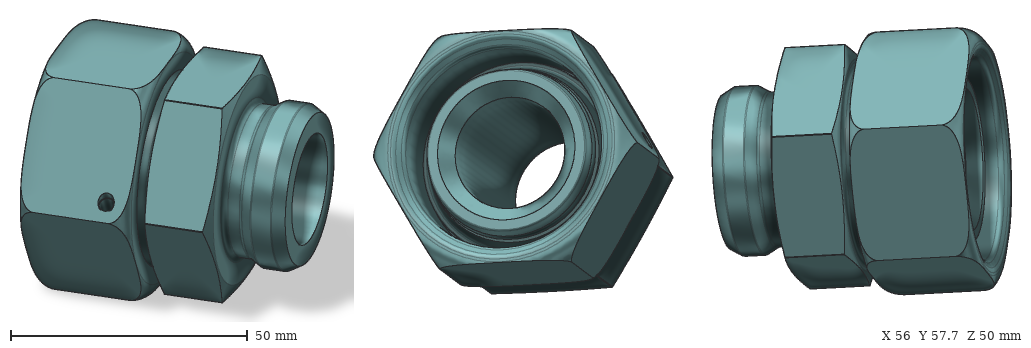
import cadquery as cq
import math

total_length = 56.0

hex_half_angle = 30.0

nut_across_flats = 50.0
nut_length = 24.5
nut_corner_fillet = 4.0
thread_bore_diameter = 43.0
nut_rear_bore_diameter = 42.16
mouth_diameter = 47.4
mouth_half_angle = 60.0
mouth_face_fillet = 2.1
mouth_bore_fillet = 1.3

wire_diameter = 3.2
wire_ring_radius = 21.25
wire_x = 19.5
feed_hole_angle = 60.0
feed_hole_entry_diameter = 3.5
feed_hole_entry_depth = 0.85

hex_across_flats = 46.0
hex_start = 27.0
hex_length = 15.0
hex_end = hex_start + hex_length
hex_corner_diameter = 53.0
hex_chamfer_angle = 15.0
hex_chamfer_start_radius = 22.5

collar_diameter = 41.95
collar_fillet = 0.8
shoulder_x = 14.1
shoulder_fillet = 0.8
shoulder_edge_fillet = 0.2
tip_x = 4.0
tip_diameter = 34.8
tip_edge_fillet = 0.3
cone_half_angle = 12.0
bore_diameter = 24.0
bore_mouth_diameter = 30.1
bore_mouth_half_angle = 45.0

seal_groove_start = 6.9
seal_groove_end = 10.1
seal_outer_diameter = 36.7
seal_section_diameter = 2.5

stud_diameter = 36.0
stud_neck_diameter = 32.9
stud_land_length = 4.55
land_edge_fillet = 0.5
stud_chamfer_angle = 30.0
neck_face_fillet = 1.2
neck_cone_fillet = 1.2


def revolved(outline):
    """Solid of revolution about X with the axis closing the outline.

    The outline lists (x, radius) corners; a third value rounds the corner with that radius.
    """
    first_x = outline[0][0]
    last_x = outline[-1][0]
    profile = cq.Workplane("XY").moveTo(first_x, 0)
    for index, (x, radius, *rounding) in enumerate(outline):
        if not rounding:
            profile = profile.lineTo(x, radius)
            continue
        corner = cq.Vector(x, radius)
        to_previous = cq.Vector(*outline[index - 1][:2]).sub(corner).normalized()
        to_next = cq.Vector(*outline[index + 1][:2]).sub(corner).normalized()
        half_angle = to_previous.getAngle(to_next) / 2
        tangent_length = rounding[0] / math.tan(half_angle)
        centre_distance = rounding[0] / math.sin(half_angle)
        inward = to_previous.add(to_next).normalized()
        arc_start = corner.add(to_previous.multiply(tangent_length))
        arc_middle = corner.add(inward.multiply(centre_distance - rounding[0]))
        arc_end = corner.add(to_next.multiply(tangent_length))
        profile = profile.lineTo(arc_start.x, arc_start.y)
        profile = profile.threePointArc(arc_middle.toTuple()[:2], arc_end.toTuple()[:2])
    profile = profile.lineTo(last_x, 0).close()
    return profile.revolve(360, (0, 0, 0), (1, 0, 0))


def corner_diameter(across_flats):
    return across_flats / math.cos(math.radians(hex_half_angle))


def hexagon(across_flats, start, length):
    """Hexagonal bar along X with corners at +Y and -Y."""
    end_plane = cq.Workplane("YZ", origin=(start, 0, 0))
    return end_plane.polygon(6, corner_diameter(across_flats)).extrude(length)


def torus(ring_radius, section_diameter, x):
    solid = cq.Solid.makeTorus(
        ring_radius, section_diameter / 2, cq.Vector(x, 0, 0), cq.Vector(1, 0, 0)
    )
    return cq.Workplane(obj=solid)


def nut_mouth_and_bores():
    """Space inside the nut: rounded conical mouth, thread bore and narrower rear bore."""
    bore_radius = thread_bore_diameter / 2
    rear_radius = nut_rear_bore_diameter / 2
    mouth_radius = mouth_diameter / 2
    mouth_depth = (mouth_radius - bore_radius) / math.tan(math.radians(mouth_half_angle))
    return revolved(
        [
            (0, nut_across_flats / 2),
            (0, mouth_radius, mouth_face_fillet),
            (mouth_depth, bore_radius, mouth_bore_fillet),
            (wire_x, bore_radius),
            (wire_x, rear_radius),
            (nut_length, rear_radius),
        ]
    )


def wire_feed_hole():
    """Stepped hole from the upper -Y flat down to the wire groove, along the groove's tangent."""
    angle = math.radians(feed_hole_angle)
    outward = cq.Vector(0, -math.cos(angle), math.sin(angle))
    groove_point = cq.Vector(
        wire_x, -wire_ring_radius * math.sin(angle), -wire_ring_radius * math.cos(angle)
    )
    flat_angle = math.radians(hex_half_angle)
    flat_normal = cq.Vector(0, -math.cos(flat_angle), math.sin(flat_angle))
    distance_to_flat = nut_across_flats / 2 - groove_point.dot(flat_normal)
    hole_length = distance_to_flat / outward.dot(flat_normal)
    entry_point = groove_point + outward * (hole_length - feed_hole_entry_depth)

    overrun = feed_hole_entry_diameter
    feed = cq.Solid.makeCylinder(wire_diameter / 2, hole_length + overrun, groove_point, outward)
    entry = cq.Solid.makeCylinder(
        feed_hole_entry_diameter / 2, feed_hole_entry_depth + overrun, entry_point, outward
    )
    return cq.Workplane(obj=feed).union(cq.Workplane(obj=entry))


def make_nut():
    rounding = cq.Workplane("YZ").circle(corner_diameter(nut_across_flats) / 2).extrude(nut_length)
    rounding = rounding.edges().fillet(nut_corner_fillet)
    nut = hexagon(nut_across_flats, 0, nut_length).intersect(rounding)
    nut = nut.cut(nut_mouth_and_bores())
    nut = nut.cut(torus(wire_ring_radius, wire_diameter, wire_x))
    return nut.cut(wire_feed_hole())


def body_hexagon():
    """Hexagon with trimmed corners and a shallow conical chamfer on both ends."""
    corner_radius = hex_corner_diameter / 2
    chamfer_length = (corner_radius - hex_chamfer_start_radius) * math.tan(math.radians(hex_chamfer_angle))
    trim = revolved(
        [
            (hex_start, hex_chamfer_start_radius),
            (hex_start + chamfer_length, corner_radius),
            (hex_end - chamfer_length, corner_radius),
            (hex_end, hex_chamfer_start_radius),
        ]
    )
    return hexagon(hex_across_flats, hex_start, hex_length).intersect(trim)


def cone_end():
    """Sealing cone, shoulder and collar, flaring into the front face of the hexagon."""
    tip_radius = tip_diameter / 2
    collar_radius = collar_diameter / 2
    cone_rise = (shoulder_x - tip_x) * math.tan(math.radians(cone_half_angle))
    return revolved(
        [
            (tip_x, bore_diameter / 2),
            (tip_x, tip_radius, tip_edge_fillet),
            (shoulder_x, tip_radius + cone_rise, shoulder_fillet),
            (shoulder_x, collar_radius, shoulder_edge_fillet),
            (hex_start, collar_radius, collar_fillet),
            (hex_start, hex_chamfer_start_radius),
            (hex_end, hex_chamfer_start_radius),
        ]
    )


def stud_end():
    """Stud with a waisted neck that flares into the rear face of the hexagon."""
    stud_radius = stud_diameter / 2
    neck_radius = stud_neck_diameter / 2
    chamfer_length = (stud_radius - neck_radius) / math.tan(math.radians(stud_chamfer_angle))
    land_end = total_length - chamfer_length
    land_start = land_end - stud_land_length
    return revolved(
        [
            (hex_start, hex_chamfer_start_radius),
            (hex_end, hex_chamfer_start_radius),
            (hex_end, neck_radius, neck_face_fillet),
            (land_start - chamfer_length, neck_radius, neck_cone_fillet),
            (land_start, stud_radius, land_edge_fillet),
            (land_end, stud_radius, land_edge_fillet),
            (total_length, neck_radius),
        ]
    )


def bore():
    """Through bore, countersunk at the cone end."""
    bore_radius = bore_diameter / 2
    mouth_radius = bore_mouth_diameter / 2
    mouth_depth = (mouth_radius - bore_radius) / math.tan(math.radians(bore_mouth_half_angle))
    return revolved(
        [
            (tip_x, mouth_radius),
            (tip_x + mouth_depth, bore_radius),
            (total_length, bore_radius),
        ]
    )


def seal_groove():
    outer_radius = collar_diameter / 2
    floor_radius = seal_outer_diameter / 2 - seal_section_diameter
    groove_width = seal_groove_end - seal_groove_start
    start_plane = cq.Workplane("YZ", origin=(seal_groove_start, 0, 0))
    return start_plane.circle(outer_radius).circle(floor_radius).extrude(groove_width)


def make_body():
    body = body_hexagon().union(cone_end()).union(stud_end())
    body = body.cut(bore())
    body = body.cut(seal_groove())
    return body.cut(torus(wire_ring_radius, wire_diameter, wire_x))


def make_seal():
    ring_radius = (seal_outer_diameter - seal_section_diameter) / 2
    return torus(ring_radius, seal_section_diameter, (seal_groove_start + seal_groove_end) / 2)


def make_wire():
    return torus(wire_ring_radius, wire_diameter, wire_x)


nut = make_nut()
body = make_body()
seal = make_seal()
wire = make_wire()
result = cq.Compound.makeCompound([nut.solids().val(), body.solids().val(), seal.val(), wire.val()])